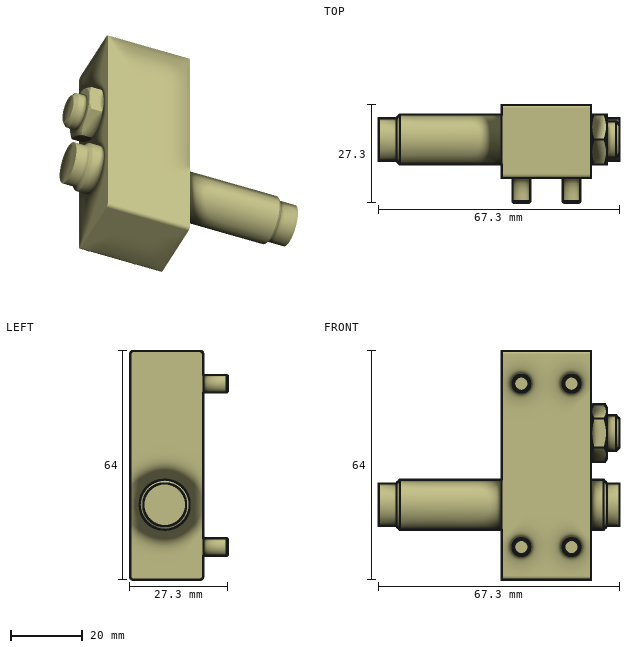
import cadquery as cq
import math


damper_length = 67.3
damper_diameter = 14.0
neck_diameter = 12.0
damper_chamfer = (damper_diameter - neck_diameter) / 2
left_neck_length = 5.0
right_neck_length = 3.5

block_left = 34.4
block_width = 25.0
block_depth = 20.45
block_height = 64.0
block_edge_radius = 1.0
axis_to_back = 9.7
axis_to_bottom = 21.0

block_right = block_left + block_width
block_back = axis_to_back
block_front = block_back - block_depth
block_bottom = -axis_to_bottom
block_middle_x = block_left + block_width / 2
block_middle_y = block_back - block_depth / 2
block_middle_z = block_bottom + block_height / 2

pin_diameter = 5.0
pin_length = 6.9
pin_chamfer = 0.5
pin_spacing_x = 14.0
pin_spacing_z = 45.6

screw_height = 20.0
screw_diameter = 10.0
screw_chamfer = 1.0
screw_length = damper_length - block_right
nut_across_flats = 14.0
nut_thickness = 4.45
nut_chamfer_angle = 30.0
nut_across_corners = nut_across_flats / math.cos(math.radians(30))


def make_damper():
    """Round bar with a 45 degree shoulder down to each neck."""
    neck_radius = neck_diameter / 2
    body_radius = damper_diameter / 2
    body_left = left_neck_length + damper_chamfer
    body_right = damper_length - right_neck_length - damper_chamfer
    return (
        cq.Workplane("XY")
        .moveTo(0, 0)
        .lineTo(0, neck_radius)
        .lineTo(left_neck_length, neck_radius)
        .lineTo(body_left, body_radius)
        .lineTo(body_right, body_radius)
        .lineTo(damper_length - right_neck_length, neck_radius)
        .lineTo(damper_length, neck_radius)
        .lineTo(damper_length, 0)
        .close()
        .revolve(360, (0, 0, 0), (1, 0, 0))
    )


def make_block():
    """Block with its four X edges rounded and a bore for the damper."""
    block = (
        cq.Workplane("XY")
        .box(block_width, block_depth, block_height)
        .edges("|X")
        .fillet(block_edge_radius)
        .translate((block_middle_x, block_middle_y, block_middle_z))
    )
    bore = (
        cq.Workplane("YZ", origin=(block_left, 0, 0))
        .circle(damper_diameter / 2)
        .extrude(block_width)
    )
    return block.cut(bore)


def make_pins():
    """Four pins with chamfered tips, standing on the front of the block."""
    return (
        cq.Workplane("XZ", origin=(block_middle_x, block_front, block_middle_z))
        .rarray(pin_spacing_x, pin_spacing_z, 2, 2)
        .circle(pin_diameter / 2)
        .extrude(pin_length)
        .faces("<Y")
        .chamfer(pin_chamfer)
    )


def make_nut():
    """Hexagon with corners up and down, its corners turned off by a cone at both ends."""
    hexagon = (
        cq.Workplane("YZ", origin=(block_right, 0, screw_height))
        .transformed(rotate=(0, 0, 90))
        .polygon(6, nut_across_corners)
        .extrude(nut_thickness)
    )
    face_radius = nut_across_flats / 2
    corner_radius = nut_across_corners / 2
    cone_depth = (corner_radius - face_radius) * math.tan(math.radians(nut_chamfer_angle))
    turned_envelope = (
        cq.Workplane("XY", origin=(block_right, 0, screw_height))
        .moveTo(0, 0)
        .lineTo(0, face_radius)
        .lineTo(cone_depth, corner_radius)
        .lineTo(nut_thickness - cone_depth, corner_radius)
        .lineTo(nut_thickness, face_radius)
        .lineTo(nut_thickness, 0)
        .close()
        .revolve(360, (0, 0, 0), (1, 0, 0))
    )
    return hexagon.intersect(turned_envelope)


def make_screw():
    """Stop screw with a chamfered tip, level with the end of the damper."""
    return (
        cq.Workplane("YZ", origin=(block_right, 0, screw_height))
        .circle(screw_diameter / 2)
        .extrude(screw_length)
        .faces(">X")
        .chamfer(screw_chamfer)
    )


def make_housing():
    """Block, pins, nut and stop screw as one solid."""
    return make_block().union(make_pins()).union(make_nut()).union(make_screw())


housing = make_housing().solids()
damper = make_damper()

result = cq.Compound.makeCompound([housing.val(), damper.val()])